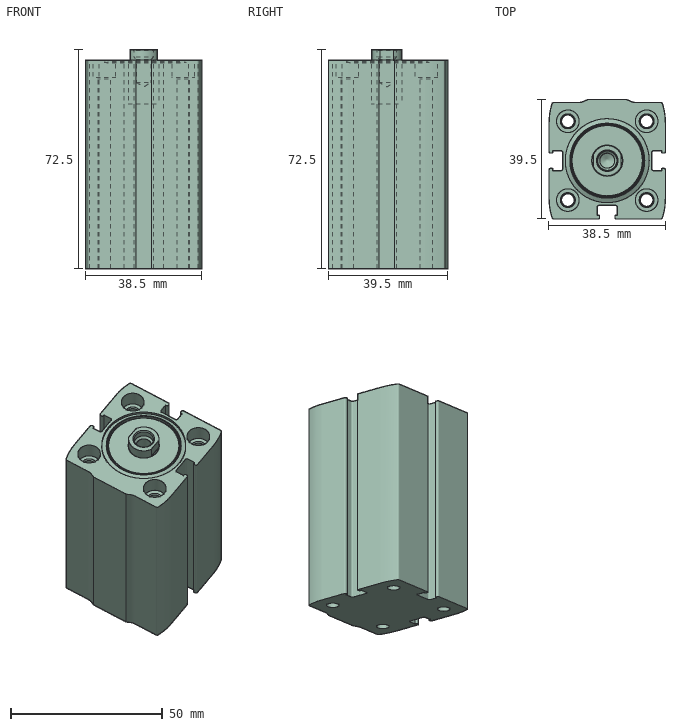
import cadquery as cq
import math

total_height = 72.5
rod_projection = 3.5
housing_height = total_height - rod_projection
width = 38.5
depth = 39.5
ridge_height = 0.95
half_width = width / 2
half_depth = (depth - ridge_height) / 2

side_flat_half = 12.7
corner_half = 18.1
corner_fillet = 0.7
ridge_top_half = 6.45
ridge_foot_half = 8.5
ridge_foot_fillet = 3.6

slot_mouth = 5.0
slot_width = 6.5
slot_depth = 4.5
slot_lip = 1.3
slot_floor_fillet = 0.5
slot_mouth_fillet = 0.5
slot_lip_fillet = 0.3

hole_pitch = 26.0
hole_diameter = 4.1
hole_rim_diameter = 4.9
counterbore_diameter = 7.5
counterbore_depth = 5.8

cap_diameter = 27.8
cap_rim_outer = 24.8
cap_rim_inner = 24.3
cap_face_diameter = 23.8
cap_face_chamfer = 0.3
cap_slope = 30.0
cap_groove_depth = 1.0
cap_face_depth = 0.3

rod_diameter = 10.0
rod_depth = 14.5
rod_across_flats = 9.0
rod_hole_chamfer = 0.15
rod_end_bevel_width = 0.3
rod_end_bevel_height = 0.1
bore_diameter = 6.4
bore_chamfer = 0.35
bore_depth = 2.55
tap_diameter = 4.9
tap_depth = 10.9
drill_point_angle = 118.0

cap_face_z = housing_height - cap_face_depth
rod_bottom_z = housing_height - rod_depth


def revolve_profile(points):
    """Turn a closed (radius, z) profile about the Z axis."""
    return cq.Workplane("XZ").polyline(points).close().revolve(360, (0, 0, 0), (0, 1, 0))


def round_upright_edges(block, points, radius):
    """Fillet the vertical edge nearest to each (x, y) point."""
    for x, y in points:
        nearest = cq.selectors.NearestToPointSelector((x, y, housing_height / 2))
        block = block.edges("|Z").edges(nearest).fillet(radius)
    return block


def make_block():
    """Extruded housing outline; each bow leaves the flat X side tangentially."""
    drop = half_width - corner_half
    run = half_depth - side_flat_half
    radius = (drop**2 + run**2) / (2 * drop)
    half_sweep = math.asin(run / radius) / 2
    bow_x = half_width - radius * (1 - math.cos(half_sweep))
    bow_y = side_flat_half + radius * math.sin(half_sweep)
    block = (
        cq.Workplane("XY")
        .moveTo(0, -half_depth)
        .lineTo(corner_half, -half_depth)
        .threePointArc((bow_x, -bow_y), (half_width, -side_flat_half))
        .lineTo(half_width, side_flat_half)
        .threePointArc((bow_x, bow_y), (corner_half, half_depth))
        .lineTo(ridge_foot_half, half_depth)
        .lineTo(ridge_top_half, half_depth + ridge_height)
        .lineTo(0, half_depth + ridge_height)
        .mirrorY()
        .extrude(housing_height)
    )
    corners = [(x, y) for x in (-corner_half, corner_half) for y in (-half_depth, half_depth)]
    block = round_upright_edges(block, corners, corner_fillet)
    ridge_feet = [(-ridge_foot_half, half_depth), (ridge_foot_half, half_depth)]
    return round_upright_edges(block, ridge_feet, ridge_foot_fillet)


def cut_slot(block, face_distance, angle):
    """Cut a T-slot into the side that lies face_distance from the axis; angle 0 is the -Y side."""
    def turned(points):
        """Turn points from the -Y side to the side being cut."""
        cos_a = math.cos(math.radians(angle))
        sin_a = math.sin(math.radians(angle))
        return [(x * cos_a - y * sin_a, x * sin_a + y * cos_a) for x, y in points]

    mouth_half = slot_mouth / 2
    inner_half = slot_width / 2
    face_y = -face_distance
    lip_y = face_y + slot_lip
    floor_y = face_y + slot_depth
    mouth = [(-mouth_half, face_y), (mouth_half, face_y)]
    lip = [(-mouth_half, lip_y), (mouth_half, lip_y)]
    shoulder = [(-inner_half, lip_y), (inner_half, lip_y)]
    floor = [(-inner_half, floor_y), (inner_half, floor_y)]
    levels = (mouth, lip, shoulder, floor)
    outline = [left for left, right in levels] + [right for left, right in reversed(levels)]
    block = block.cut(cq.Workplane("XY").polyline(turned(outline)).close().extrude(housing_height))
    block = round_upright_edges(block, turned(floor), slot_floor_fillet)
    block = round_upright_edges(block, turned(lip), slot_lip_fillet)
    return round_upright_edges(block, turned(mouth), slot_mouth_fillet)


def make_mounting_hole():
    """Counterbored through hole on the Z axis, with a 45 degree lead-in at the small hole."""
    hole_radius = hole_diameter / 2
    rim_radius = hole_rim_diameter / 2
    counterbore_radius = counterbore_diameter / 2
    seat_z = housing_height - counterbore_depth
    return revolve_profile([
        (0, 0),
        (hole_radius, 0),
        (hole_radius, seat_z - (rim_radius - hole_radius)),
        (rim_radius, seat_z),
        (counterbore_radius, seat_z),
        (counterbore_radius, housing_height),
        (0, housing_height),
    ])


def make_cap_recess():
    """Space above the cap: face, ring groove, and sloping edge outside the raised rim."""
    slope_fall = (cap_diameter - cap_rim_outer) / 2 * math.tan(math.radians(cap_slope))
    face_and_groove = revolve_profile([
        (0, cap_face_z),
        (cap_face_diameter / 2 - cap_face_chamfer, cap_face_z),
        (cap_face_diameter / 2, cap_face_z - cap_face_chamfer),
        (cap_face_diameter / 2, housing_height - cap_groove_depth),
        (cap_rim_inner / 2, housing_height - cap_groove_depth),
        (cap_rim_inner / 2, housing_height),
        (0, housing_height),
    ])
    sloping_edge = revolve_profile([
        (cap_rim_outer / 2, housing_height),
        (cap_diameter / 2, housing_height - slope_fall),
        (cap_diameter / 2, housing_height),
    ])
    return face_and_groove, sloping_edge


def make_rod_hole():
    """Blind hole that holds the rod, lightly chamfered at the cap face."""
    rod_radius = rod_diameter / 2
    return revolve_profile([
        (0, rod_bottom_z),
        (rod_radius, rod_bottom_z),
        (rod_radius, cap_face_z - rod_hole_chamfer),
        (rod_radius + rod_hole_chamfer, cap_face_z),
        (0, cap_face_z),
    ])


def make_housing():
    housing = make_block()
    for face_distance, angle in ((half_depth, 0), (half_width, 90), (half_width, -90)):
        housing = cut_slot(housing, face_distance, angle)
    mounting_hole = make_mounting_hole()
    for x in (-hole_pitch / 2, hole_pitch / 2):
        for y in (-hole_pitch / 2, hole_pitch / 2):
            housing = housing.cut(mounting_hole.translate((x, y, 0)))
    for recess in make_cap_recess():
        housing = housing.cut(recess)
    return housing.cut(make_rod_hole())


def make_rod_bore():
    """Chamfered bore, 45 degree step down to the tapped hole, and drill point."""
    bore_radius = bore_diameter / 2
    tap_radius = tap_diameter / 2
    point_length = tap_radius / math.tan(math.radians(drill_point_angle / 2))
    return revolve_profile([
        (0, total_height),
        (bore_radius + bore_chamfer, total_height),
        (bore_radius, total_height - bore_chamfer),
        (bore_radius, total_height - bore_depth),
        (tap_radius, total_height - bore_depth - (bore_radius - tap_radius)),
        (tap_radius, total_height - tap_depth),
        (0, total_height - tap_depth - point_length),
    ])


def make_rod():
    """Round rod; the part above the cap face carries two flats facing -X and +X."""
    rod_radius = rod_diameter / 2
    rod = revolve_profile([
        (0, rod_bottom_z),
        (rod_radius, rod_bottom_z),
        (rod_radius, total_height - rod_end_bevel_height),
        (rod_radius - rod_end_bevel_width, total_height),
        (0, total_height),
    ])
    flat_depth = (rod_diameter - rod_across_flats) / 2
    flat_height = total_height - cap_face_z
    for side in (-1, 1):
        flat = (
            cq.Workplane("XY")
            .box(flat_depth, rod_diameter, flat_height, centered=(True, True, False))
            .translate((side * (rod_across_flats + flat_depth) / 2, 0, cap_face_z))
        )
        rod = rod.cut(flat)
    return rod.cut(make_rod_bore())


housing = make_housing()
rod = make_rod()
result = cq.Compound.makeCompound([housing.val(), rod.val()])